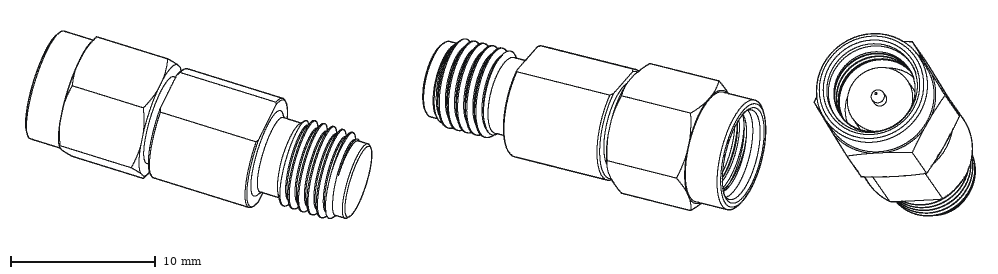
import cadquery as cq
import math


hex_start = 2.59
nut_end = 8.57
barrel_start = 9.18
barrel_end = 16.52
total_length = 23.3

thread_pitch = 0.7
flank_angle = math.radians(30)
outer_thread_land = 0.1
inner_thread_land = 0.15
base_overlap = 0.05
tip_clearance = 0.05

collar_radius = 3.91
collar_chamfer_length = 0.16
collar_chamfer_height = 0.23
hex_flats = 8.0
hex_bevel_radius = 4.03
hex_bevel_length = 0.35
hex_corner_radius = hex_flats / 2 / math.cos(math.radians(30))
mouth_radius = 3.4
mouth_chamfer = 0.2
entry_radius = mouth_radius - mouth_chamfer
entry_end = 0.77
bore_radius = 2.87
bore_cone_end = entry_end + entry_radius - bore_radius
inner_thread_end = 3.12
inner_coil_start = 0.85
groove_width = thread_pitch - inner_thread_land - 2 * (entry_radius - bore_radius) * math.tan(flank_angle)

shaft_radius = 3.15
shaft_start = 5.25
plug_radius = 2.3
plug_start = 3.12
pin_radius = 0.47
pin_tip_radius = 0.07
pin_tip = 1.6
pin_cone_end = 2.3
barrel_radius = 3.95
barrel_flats = 7.0
barrel_chamfer = 0.15
barrel_rear_chamfer = 0.1
jack_radius = 2.7
jack_cone_length = 0.33
jack_cone_radius = 3.1
jack_chamfer = 0.15
outer_thread_radius = 3.15
outer_thread_start = 18.25
outer_thread_end = 22.44
outer_coil_start = 18.13


def revolve(points):
    """Turn a closed outline of (X, radius) points around the X axis."""
    return cq.Workplane("XY").polyline(points).close().revolve(360, (0, 0, 0), (1, 0, 0))


def helical_thread(inner_radius, outer_radius, outer_width, coil_start, start, end):
    """V-shaped coil around X, narrowing outward, that fades out along 45 degree cones at both ends.

    It leaves the -Z side at X = coil_start and is trimmed to between start and end.
    """
    base_radius = inner_radius - base_overlap
    tip_half = outer_width / 2
    base_half = tip_half + (outer_radius - base_radius) * math.tan(flank_angle)
    coil_length = end + thread_pitch / 2 - coil_start
    path = cq.Workplane(cq.Wire.makeHelix(thread_pitch, coil_length, base_radius))
    coil = (
        cq.Workplane("XZ")
        .polyline([
            (base_radius, -base_half),
            (outer_radius, -tip_half),
            (outer_radius, tip_half),
            (base_radius, base_half),
        ])
        .close()
        .sweep(path, isFrenet=True)
        .rotate((0, 0, 0), (0, 1, 0), 90)
        .translate((coil_start, 0, 0))
    )
    taper_length = outer_radius + tip_clearance - inner_radius
    tapered_ends = revolve([
        (start, 0),
        (start, inner_radius),
        (start + taper_length, outer_radius + tip_clearance),
        (end - taper_length, outer_radius + tip_clearance),
        (end, inner_radius),
        (end, 0),
    ])
    return coil.intersect(tapered_ends)


def make_hexagon():
    """Hexagonal grip with its corners bevelled at both ends."""
    length = nut_end - hex_start
    prism = (
        cq.Workplane("YZ")
        .polygon(6, 2 * hex_corner_radius)
        .extrude(length)
        .translate((hex_start, 0, 0))
    )
    bevels = revolve([
        (hex_start, 0),
        (hex_start, hex_bevel_radius),
        (hex_start + hex_bevel_length, hex_corner_radius),
        (nut_end - hex_bevel_length, hex_corner_radius),
        (nut_end, hex_bevel_radius),
        (nut_end, 0),
    ])
    return prism.intersect(bevels)


def make_nut_bore():
    """Stepped bore of the nut with its internal thread."""
    bore = revolve([
        (0, 0),
        (0, mouth_radius),
        (mouth_chamfer, entry_radius),
        (entry_end, entry_radius),
        (bore_cone_end, bore_radius),
        (shaft_start, bore_radius),
        (shaft_start, shaft_radius),
        (nut_end, shaft_radius),
        (nut_end, 0),
    ])
    groove = helical_thread(
        bore_radius, entry_radius, groove_width, inner_coil_start, bore_cone_end, inner_thread_end
    )
    return bore.union(groove)


def make_nut():
    collar = revolve([
        (0, 0),
        (0, collar_radius - collar_chamfer_height),
        (collar_chamfer_length, collar_radius),
        (hex_start, collar_radius),
        (hex_start, 0),
    ])
    return collar.union(make_hexagon()).cut(make_nut_bore())


def make_plug():
    """Centre pin, plug face and shaft, up to the barrel."""
    return revolve([
        (pin_tip, 0),
        (pin_tip, pin_tip_radius),
        (pin_cone_end, pin_radius),
        (plug_start, pin_radius),
        (plug_start, plug_radius),
        (shaft_start, plug_radius),
        (shaft_start, shaft_radius),
        (barrel_start, shaft_radius),
        (barrel_start, 0),
    ])


def make_barrel():
    """Round barrel with two wrench flats, at +Z and -Z."""
    barrel = revolve([
        (barrel_start, 0),
        (barrel_start, barrel_radius - barrel_chamfer),
        (barrel_start + barrel_chamfer, barrel_radius),
        (barrel_end - barrel_rear_chamfer, barrel_radius),
        (barrel_end, barrel_radius - barrel_rear_chamfer),
        (barrel_end, 0),
    ])
    flats = cq.Workplane("XY").box(2 * total_length, 2 * barrel_radius, barrel_flats)
    return barrel.intersect(flats)


def make_jack():
    """Threaded nose behind the barrel."""
    nose = revolve([
        (barrel_end, 0),
        (barrel_end, jack_cone_radius),
        (barrel_end + jack_cone_length, jack_radius),
        (total_length - jack_chamfer, jack_radius),
        (total_length, jack_radius - jack_chamfer),
        (total_length, 0),
    ])
    ridge = helical_thread(
        jack_radius,
        outer_thread_radius,
        outer_thread_land,
        outer_coil_start,
        outer_thread_start,
        outer_thread_end,
    )
    return nose.union(ridge)


coupling_nut = make_nut()
adapter_body = make_plug().union(make_barrel()).union(make_jack())

result = cq.Compound.makeCompound([coupling_nut.solids().val(), adapter_body.solids().val()])